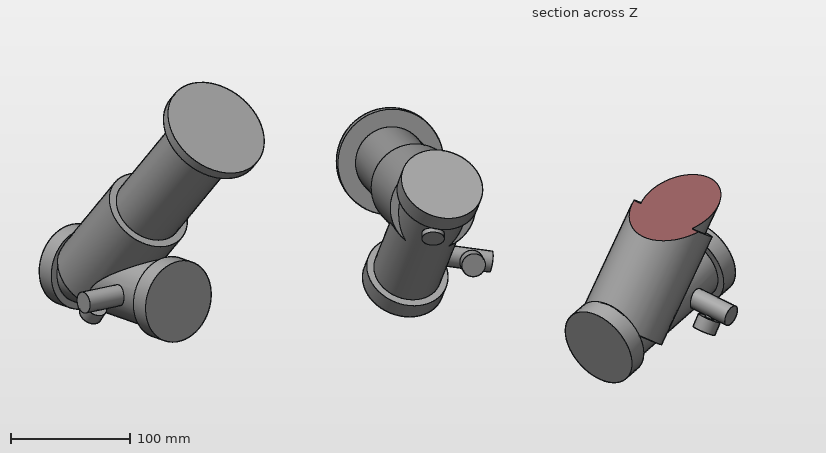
import cadquery as cq
import math

pipe_length = 145.2
pipe_diameter = 58.0
end_flange_diameter = 70.2
end_flange_thickness = 16.5

branch_angle = 45
sleeve_diameter = 73.0
sleeve_length = 100.0
branch_tube_diameter = 60.0
branch_flange_diameter = 90.0
branch_flange_thickness = 9.0
total_length_x = 228.5
total_height_z = 230.0

port_diameter = 18.0
port_x = 99.0
total_width_y = 110.0
port_reach = total_width_y - branch_flange_diameter / 2
stub_neck_diameter = 8.0
stub_cap_diameter = 20.0
stub_cap_thickness = 11.7
stub_reach = 21.6
stub_angle = 50
stub_y = -47.0

drain_diameter = 18.9
drain_reach = 33.0

branch_cos = math.cos(math.radians(branch_angle))
branch_sin = math.sin(math.radians(branch_angle))
branch_end_x = total_length_x - branch_flange_diameter / 2 * branch_sin
branch_end_z = total_height_z - end_flange_diameter / 2 - branch_flange_diameter / 2 * branch_cos
branch_length = branch_end_z / branch_sin
branch_root_x = branch_end_x - branch_length * branch_cos


def cylinder(diameter, length, start, direction):
    """Solid cylinder running from the start point along the direction."""
    return cq.Workplane(
        cq.Solid.makeCylinder(diameter / 2, length, cq.Vector(*start), cq.Vector(*direction))
    )


def main_pipe():
    along_x = (1, 0, 0)
    body = cylinder(pipe_diameter, pipe_length, (0, 0, 0), along_x)
    for flange_x in (0, pipe_length - end_flange_thickness):
        flange = cylinder(end_flange_diameter, end_flange_thickness, (flange_x, 0, 0), along_x)
        body = body.union(flange)
    return body


def branch():
    direction = (branch_cos, 0, branch_sin)
    root = (branch_root_x, 0, 0)
    flange_offset = branch_length - branch_flange_thickness
    flange_start = (branch_root_x + flange_offset * branch_cos, 0, flange_offset * branch_sin)
    sleeve = cylinder(sleeve_diameter, sleeve_length, root, direction)
    tube = cylinder(branch_tube_diameter, branch_length, root, direction)
    flange = cylinder(branch_flange_diameter, branch_flange_thickness, flange_start, direction)
    return sleeve.union(tube).union(flange)


def side_port():
    port = cylinder(port_diameter, port_reach, (port_x, 0, 0), (0, -1, 0))
    angle = math.radians(stub_angle)
    stub_direction = (-math.cos(angle), 0, -math.sin(angle))
    cap_offset = stub_reach - stub_cap_thickness
    cap_start = (
        port_x + cap_offset * stub_direction[0],
        stub_y,
        cap_offset * stub_direction[2],
    )
    neck = cylinder(stub_neck_diameter, stub_reach, (port_x, stub_y, 0), stub_direction)
    cap = cylinder(stub_cap_diameter, stub_cap_thickness, cap_start, stub_direction)
    return port.union(neck).union(cap)


def drain_boss():
    return cylinder(drain_diameter, drain_reach, (branch_root_x, 0, 0), (0, 0, -1))


result = main_pipe().union(branch()).union(side_port()).union(drain_boss())